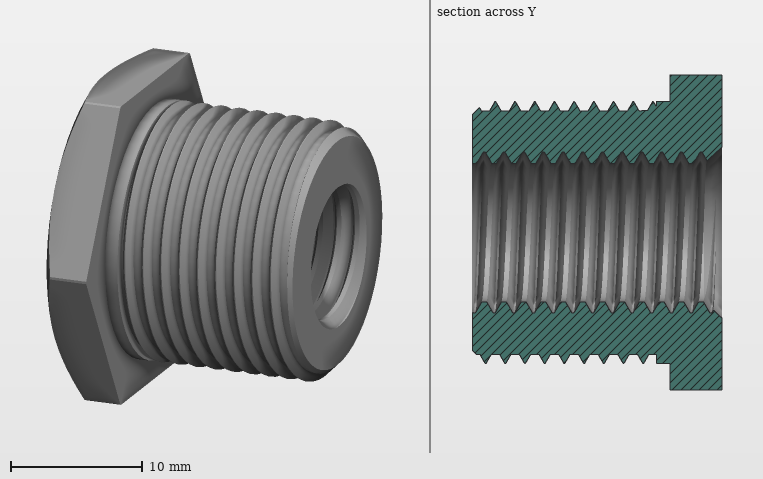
import cadquery as cq
import math


head_length = 4.0
across_flats = 24.0
corner_diameter = 27.6
head_chamfer_angle = 30.0

collar_length = 1.0
shank_diameter = 20.0
overall_length = 19.0
tip_chamfer = 1.0

bore_diameter = 10.5
countersink_diameter = 13.0
countersink_depth = 1.35
bore_major_diameter = 12.2

pitch = 1.5
flank_half_angle = 30.0
outer_crest_flat = 0.06
inner_crest_flat = pitch / 4
outer_thread_depth = 0.7
outer_groove_start = 3.75
inner_groove_start = -2.15

clearance = 0.5
groove_overrun = 0.02

shank_radius = shank_diameter / 2
bore_radius = bore_diameter / 2


def cylinder(diameter, start, end):
    return cq.Workplane("XY").workplane(offset=start).circle(diameter / 2).extrude(end - start)


def revolve_about_axis(profile):
    return cq.Workplane("XZ").polyline(profile).close().revolve(360, (0, 0, 0), (0, 1, 0))


def helix(radius, start, turns):
    """Helix built from one edge per turn, which keeps every swept face to a single turn."""
    single_turn = cq.Wire.makeHelix(pitch, pitch, radius).Edges()[0]
    edges = []
    for turn in range(turns):
        edges.append(single_turn.translate(cq.Vector(0, 0, start + turn * pitch)))
    return cq.Wire.assembleEdges(edges)


def helical_groove(surface_radius, root_radius, crest_flat, start, minimum_end):
    """Sweep a flat-bottomed V groove from start until it has run past minimum_end."""
    inward = math.copysign(1, root_radius - surface_radius)
    mouth_radius = surface_radius - inward * groove_overrun
    flank_slope = math.tan(math.radians(flank_half_angle))
    surface_half_width = (pitch - crest_flat) / 2
    mouth_half_width = surface_half_width + abs(mouth_radius - surface_radius) * flank_slope
    root_half_width = surface_half_width - abs(surface_radius - root_radius) * flank_slope

    turns = math.ceil((minimum_end - start) / pitch) + 1
    path = helix(root_radius, start, turns)
    profile = [
        (mouth_radius, start - mouth_half_width),
        (root_radius, start - root_half_width),
        (root_radius, start + root_half_width),
        (mouth_radius, start + mouth_half_width),
    ]
    return cq.Workplane("XZ").polyline(profile).close().sweep(cq.Workplane(path), isFrenet=True)


def make_head():
    sharp_corner_diameter = across_flats / math.cos(math.radians(30))
    hexagon = (
        cq.Workplane("XY")
        .polygon(6, sharp_corner_diameter)
        .extrude(head_length)
        .rotate((0, 0, 0), (0, 0, 1), 30)
    )
    face_radius = across_flats / 2
    corner_radius = corner_diameter / 2
    chamfer_depth = (corner_radius - face_radius) * math.tan(math.radians(head_chamfer_angle))
    turned_blank = revolve_about_axis([
        (0, 0),
        (face_radius, 0),
        (corner_radius, chamfer_depth),
        (corner_radius, head_length),
        (0, head_length),
    ])
    return hexagon.intersect(turned_blank)


def make_threaded_shank():
    blank = cylinder(shank_diameter, head_length + collar_length, overall_length)
    groove = helical_groove(
        shank_radius,
        shank_radius - outer_thread_depth,
        outer_crest_flat,
        outer_groove_start,
        overall_length,
    )
    ring_radius = shank_radius + clearance
    tip_ring = revolve_about_axis([
        (shank_radius - tip_chamfer, overall_length),
        (ring_radius, overall_length),
        (ring_radius, overall_length - tip_chamfer - clearance),
    ])
    return blank.cut(groove).cut(tip_ring)


def cut_threaded_bore(body):
    bore = cylinder(bore_diameter, -clearance, overall_length + clearance)
    groove = helical_groove(
        bore_radius,
        bore_major_diameter / 2,
        inner_crest_flat,
        inner_groove_start,
        overall_length,
    )
    mouth_radius = countersink_diameter / 2
    cone_height = mouth_radius * countersink_depth / (mouth_radius - bore_radius)
    countersink = revolve_about_axis([(0, 0), (mouth_radius, 0), (0, cone_height)])
    return body.cut(bore).cut(groove).cut(countersink)


collar = cylinder(shank_diameter, 0, head_length + collar_length)
body = make_threaded_shank().union(collar, clean=False).union(make_head(), clean=False)
body = cut_threaded_bore(body)

result = body.rotate((0, 0, 0), (0, 1, 0), 90)